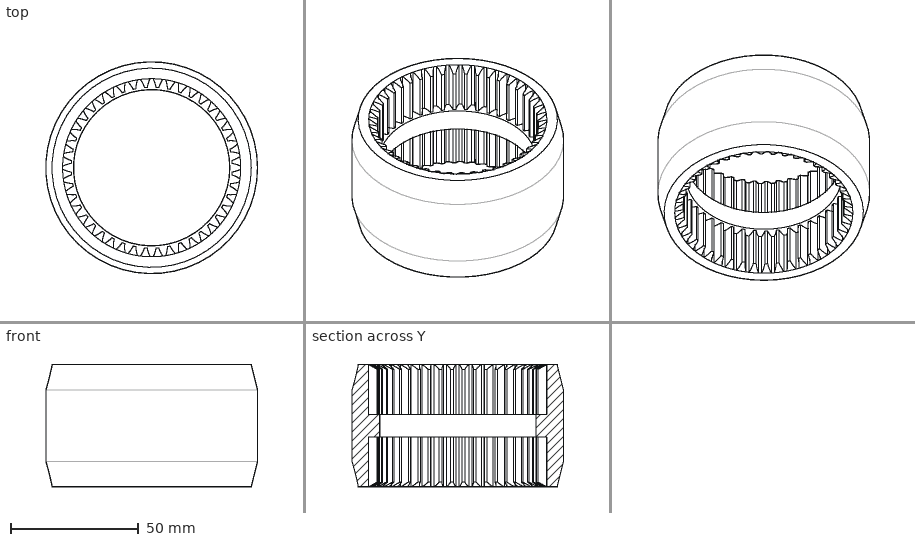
import cadquery as cq
import math

OUTER_RADIUS = 41.5
END_RADIUS = 39.0
HEIGHT = 48.0
TAPER_HEIGHT = 10.0

RIB_BORE_RADIUS = 30.55
RIB_WIDTH = 9.0

TOOTH_COUNT = 44
PITCH_RADIUS = 33.0
PRESSURE_ANGLE = math.radians(20)
MODULE = 2 * PITCH_RADIUS / TOOTH_COUNT
TIP_RADIUS = PITCH_RADIUS - MODULE
ROOT_RADIUS = 34.9
BASE_RADIUS = PITCH_RADIUS * math.cos(PRESSURE_ANGLE)
BACKLASH = 0.3
FLANK_STEPS = 6
LEAD_IN_ANGLE = math.radians(30)

HALF_HEIGHT = HEIGHT / 2


def polar_point(radius, angle):
    return (radius * math.cos(angle), radius * math.sin(angle))


def involute(angle):
    return math.tan(angle) - angle


def space_half_angle(radius):
    """Half the angle spanned by a tooth space at the given radius."""
    local_pressure = math.acos(BASE_RADIUS / radius)
    width_at_pitch = math.pi * MODULE / 2 + BACKLASH
    at_pitch = width_at_pitch / (2 * PITCH_RADIUS)
    return at_pitch + involute(PRESSURE_ANGLE) - involute(local_pressure)


def sleeve():
    """Revolved body with tapered ends, bored to the tooth tips with a lead-in at each end."""
    lead_in_height = (ROOT_RADIUS - TIP_RADIUS) * math.tan(LEAD_IN_ANGLE)
    taper_start = HALF_HEIGHT - TAPER_HEIGHT
    lead_in_start = HALF_HEIGHT - lead_in_height
    profile = [
        (OUTER_RADIUS, -taper_start),
        (OUTER_RADIUS, taper_start),
        (END_RADIUS, HALF_HEIGHT),
        (ROOT_RADIUS, HALF_HEIGHT),
        (TIP_RADIUS, lead_in_start),
        (TIP_RADIUS, -lead_in_start),
        (ROOT_RADIUS, -HALF_HEIGHT),
        (END_RADIUS, -HALF_HEIGHT),
    ]
    return cq.Workplane("XZ").polyline(profile).close().revolve(360, (0, 0, 0), (0, 1, 0))


def tooth_space():
    """One involute tooth space centred on +X, running the full height."""
    radius_step = (ROOT_RADIUS - TIP_RADIUS) / FLANK_STEPS
    radii = [TIP_RADIUS + i * radius_step for i in range(FLANK_STEPS + 1)]
    left_flank = [polar_point(r, space_half_angle(r)) for r in radii]
    right_flank = [(x, -y) for x, y in left_flank]
    inner_x, inner_y = polar_point(RIB_BORE_RADIUS, space_half_angle(TIP_RADIUS))
    return (
        cq.Workplane("XY", origin=(0, 0, -HALF_HEIGHT))
        .moveTo(inner_x, -inner_y)
        .lineTo(*right_flank[0])
        .spline(right_flank[1:], includeCurrent=True)
        .threePointArc((ROOT_RADIUS, 0), left_flank[-1])
        .spline(left_flank[-2::-1], includeCurrent=True)
        .lineTo(inner_x, inner_y)
        .close()
        .extrude(HEIGHT)
        .val()
    )


def all_tooth_spaces():
    """Tooth spaces evenly spread round the bore."""
    space = tooth_space()
    pitch_angle = 360 / TOOTH_COUNT
    axis = (cq.Vector(0, 0, 0), cq.Vector(0, 0, 1))
    spaces = [space.rotate(*axis, i * pitch_angle) for i in range(TOOTH_COUNT)]
    return cq.Workplane(obj=cq.Compound.makeCompound(spaces))


def rib():
    """Plain ring that fills the tooth spaces at mid height and narrows the bore."""
    embedded_radius = (ROOT_RADIUS + END_RADIUS) / 2
    return (
        cq.Workplane("XY", origin=(0, 0, -RIB_WIDTH / 2))
        .circle(embedded_radius)
        .circle(RIB_BORE_RADIUS)
        .extrude(RIB_WIDTH)
    )


result = sleeve().cut(all_tooth_spaces()).union(rib())